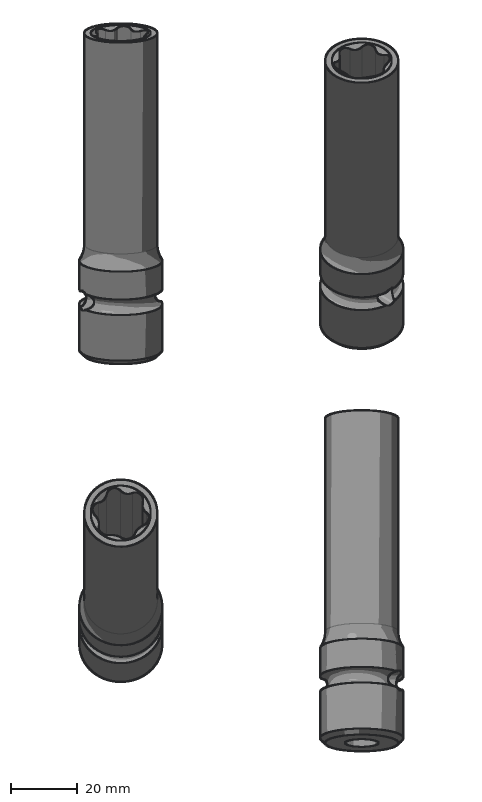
import cadquery as cq
import math

length = 100.0
base_radius = 12.5
shank_radius = 11.0
base_chamfer = 1.5
collar_top = 29.2
shank_start = 34.3

groove_height = 18.1
groove_half_width = 2.4
groove_depth = 2.1
pin_hole_diameter = 6.0

bore_diameter = 10.0
socket_floor = shank_start
lobe_count = 6
lobe_tip_radius = 8.6
lobe_arc_radius = 2.5
rib_tip_radius = 7.0
mouth_radius = 9.0
mouth_depth = 1.1


def polar(radius, angle):
    return (radius * math.cos(angle), radius * math.sin(angle))


def make_body():
    """Revolve the stepped outside profile about Z."""
    step = base_radius - shank_radius
    rise = shank_start - collar_top
    flare_radius = (step**2 + rise**2) / (2 * step)
    half_sweep = math.asin(rise / flare_radius) / 2
    flare_middle = (
        shank_radius + flare_radius * (1 - math.cos(half_sweep)),
        shank_start - flare_radius * math.sin(half_sweep),
    )
    return (
        cq.Workplane("XZ")
        .lineTo(base_radius - base_chamfer, 0)
        .lineTo(base_radius, base_chamfer)
        .lineTo(base_radius, groove_height - groove_half_width)
        .threePointArc(
            (base_radius - groove_depth, groove_height),
            (base_radius, groove_height + groove_half_width),
        )
        .lineTo(base_radius, collar_top)
        .threePointArc(flare_middle, (shank_radius, shank_start))
        .lineTo(shank_radius, length)
        .lineTo(0, length)
        .close()
        .revolve(360, (0, 0), (0, 1))
    )


def make_socket():
    """Extrude a closed wave of tangent lobe and rib arcs."""
    half_pitch = math.pi / lobe_count
    lobe_center = lobe_tip_radius - lobe_arc_radius
    projection = lobe_center * math.cos(half_pitch)
    rib_arc_radius = (
        rib_tip_radius**2 + lobe_center**2 - 2 * rib_tip_radius * projection - lobe_arc_radius**2
    ) / (2 * (lobe_arc_radius + projection - rib_tip_radius))
    rib_center = rib_tip_radius + rib_arc_radius

    lobe_x, lobe_y = polar(lobe_center, half_pitch)
    share = rib_arc_radius / (rib_arc_radius + lobe_arc_radius)
    join_x = rib_center + share * (lobe_x - rib_center)
    join_y = share * lobe_y
    join_radius = math.hypot(join_x, join_y)
    join_angle = math.atan2(join_y, join_x)

    outline = cq.Workplane("XY").workplane(offset=socket_floor).moveTo(*polar(join_radius, -join_angle))
    for index in range(lobe_count):
        rib_angle = 2 * half_pitch * index
        lobe_angle = rib_angle + half_pitch
        next_rib_angle = lobe_angle + half_pitch
        outline = outline.threePointArc(
            polar(rib_tip_radius, rib_angle),
            polar(join_radius, rib_angle + join_angle),
        ).threePointArc(
            polar(lobe_tip_radius, lobe_angle),
            polar(join_radius, next_rib_angle - join_angle),
        )
    return outline.close().extrude(length - socket_floor)


def make_mouth():
    """Cone that bevels the rib ends at the socket mouth."""
    return (
        cq.Workplane("XZ")
        .moveTo(0, length)
        .lineTo(mouth_radius, length)
        .lineTo(rib_tip_radius, length - mouth_depth)
        .lineTo(0, length - mouth_depth)
        .close()
        .revolve(360, (0, 0), (0, 1))
    )


def make_pin_hole():
    """Cylinder along Y through both walls at the groove."""
    return (
        cq.Workplane("XZ")
        .center(0, groove_height)
        .circle(pin_hole_diameter / 2)
        .extrude(base_radius, both=True)
    )


bore = cq.Workplane("XY").circle(bore_diameter / 2).extrude(length)

result = make_body().cut(bore).cut(make_socket()).cut(make_mouth()).cut(make_pin_hole())